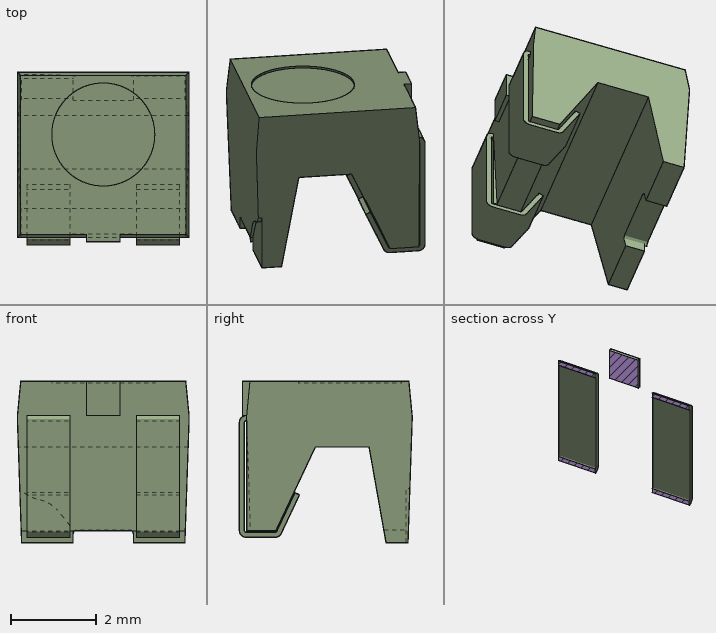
import cadquery as cq
import math


WIDTH = 4.0
DEPTH = 3.855
PLATE_THICKNESS = 0.12
BACK_LEG_BOTTOM = -2.965
FRONT_LEG_BOTTOM = -2.685
WALL_TAPER = 0.095

LID_HEIGHT = 0.8
LID_TAPER = 0.075
TAB_WIDTH = 0.785
TAB_REACH = 0.1
WINDOW_RADIUS = 1.2
WINDOW_Y = 2.4
WINDOW_DEPTH = 0.05

TUNNEL_TOP = -0.737
TUNNEL_TOP_FRONT = 1.6
TUNNEL_TOP_BACK = 2.85
FRONT_LEG_DEPTH = 0.68
BACK_LEG_INNER_Y = 3.245

NOTCH_WIDTH = 1.402
NOTCH_TOP = -2.66
NOTCH_RADIUS = 0.105

RELIEF_FLOOR_Y = 3.71
RELIEF_SIDE_Z = -1.635
RELIEF_BEND = (-1.49, -1.96)
RELIEF_SLOPE_TOP = (-1.025, -2.25)

LEAD_THICKNESS = PLATE_THICKNESS
LEAD_WIDTH = 1.008
LEAD_INNER_X = 0.77
LEAD_FRONT_GAP = 0.052
LEAD_BOTTOM_GAP = 0.032
LEAD_SLANT_GAP = 0.02
LEAD_TIP_Z = -1.795
BEND_INNER_RADIUS = 0.04
BEND_OUTER_RADIUS = BEND_INNER_RADIUS + LEAD_THICKNESS

MARGIN = 0.405


def tapered_block(z_start, height, front_inset, back_inset, side_inset):
    """Block on the full footprint at z_start, with its walls inset at the far end."""
    end_depth = DEPTH - front_inset - back_inset
    return (
        cq.Workplane("XY", origin=(0, DEPTH / 2, z_start))
        .rect(WIDTH, DEPTH)
        .workplane(offset=height)
        .center(0, (front_inset - back_inset) / 2)
        .rect(WIDTH - 2 * side_inset, end_depth)
        .loft(ruled=True)
    )


def across_width(points):
    """Prism across the whole width from (y, z) corners."""
    return cq.Workplane("YZ").polyline(points).close().extrude(WIDTH, both=True)


def lid():
    body = tapered_block(0, LID_HEIGHT, LID_TAPER, LID_TAPER, LID_TAPER)
    tab_depth = TAB_REACH + 2 * LID_TAPER
    tab = cq.Workplane("XY").box(TAB_WIDTH, tab_depth, LID_HEIGHT, centered=(True, False, False))
    window = (
        cq.Workplane("XY", origin=(0, WINDOW_Y, LID_HEIGHT - WINDOW_DEPTH))
        .circle(WINDOW_RADIUS)
        .extrude(MARGIN)
    )
    return body.union(tab.translate((0, -TAB_REACH, 0))).cut(window)


def leg_opening():
    below = BACK_LEG_BOTTOM - MARGIN
    return across_width([
        (-MARGIN, FRONT_LEG_BOTTOM),
        (FRONT_LEG_DEPTH, FRONT_LEG_BOTTOM),
        (TUNNEL_TOP_FRONT, TUNNEL_TOP),
        (TUNNEL_TOP_BACK, TUNNEL_TOP),
        (BACK_LEG_INNER_Y, BACK_LEG_BOTTOM),
        (BACK_LEG_INNER_Y, below),
        (-MARGIN, below),
    ])


def front_panel():
    """Wedge that gives the wall between the leads the same draft as the other walls."""
    wedge = (
        cq.Workplane("YZ")
        .polyline([
            (0, -PLATE_THICKNESS),
            (WALL_TAPER, BACK_LEG_BOTTOM),
            (0, BACK_LEG_BOTTOM),
        ])
        .close()
    )
    return wedge.extrude(LEAD_INNER_X, both=True)


def foot_notch():
    height = NOTCH_TOP - BACK_LEG_BOTTOM + MARGIN
    return (
        cq.Workplane("XY", origin=(0, DEPTH, NOTCH_TOP - height))
        .box(NOTCH_WIDTH, DEPTH, height, centered=(True, True, False))
        .edges("|Y and >Z")
        .fillet(NOTCH_RADIUS)
    )


def corner_relief():
    """Shallow relief under an S-shaped ceiling that falls from the -X wall to the notch."""
    below = BACK_LEG_BOTTOM - MARGIN
    return (
        cq.Workplane("XZ", origin=(0, RELIEF_FLOOR_Y, 0))
        .moveTo(-NOTCH_WIDTH / 2, below)
        .lineTo(-NOTCH_WIDTH / 2, NOTCH_TOP)
        .lineTo(*RELIEF_SLOPE_TOP)
        .tangentArcPoint(RELIEF_BEND, relative=False)
        .tangentArcPoint((-WIDTH / 2, RELIEF_SIDE_Z), relative=False)
        .lineTo(-WIDTH / 2, below)
        .close()
        .extrude(-MARGIN)
    )


def housing():
    plate = cq.Workplane("XY").box(WIDTH, DEPTH, PLATE_THICKNESS, centered=(True, False, False))
    plate = plate.translate((0, 0, -PLATE_THICKNESS))
    wall_height = -PLATE_THICKNESS - BACK_LEG_BOTTOM
    base = tapered_block(-PLATE_THICKNESS, -wall_height, 0, WALL_TAPER, WALL_TAPER)
    base = base.cut(leg_opening()).cut(front_panel())
    base = base.cut(foot_notch()).cut(corner_relief())
    return plate.union(base)


def lead(x_start):
    """Strip bent down the front wall, under the front leg and up its slanted back."""
    rise = TUNNEL_TOP - FRONT_LEG_BOTTOM
    run = TUNNEL_TOP_FRONT - FRONT_LEG_DEPTH
    slant = math.atan2(rise, run)

    def slant_y(z, gap):
        return FRONT_LEG_DEPTH + (z - FRONT_LEG_BOTTOM) / math.tan(slant) + gap / math.sin(slant)

    inner_front = -LEAD_FRONT_GAP
    outer_front = inner_front - LEAD_THICKNESS
    inner_bottom = FRONT_LEG_BOTTOM - LEAD_BOTTOM_GAP
    outer_bottom = inner_bottom - LEAD_THICKNESS
    tip_inner = (slant_y(LEAD_TIP_Z, LEAD_SLANT_GAP), LEAD_TIP_Z)
    tip_outer = (
        tip_inner[0] + LEAD_THICKNESS * math.sin(slant),
        tip_inner[1] - LEAD_THICKNESS * math.cos(slant),
    )
    outer_bends = [
        (outer_front, 0),
        (outer_front, outer_bottom),
        (slant_y(outer_bottom, LEAD_SLANT_GAP + LEAD_THICKNESS), outer_bottom),
    ]
    inner_bends = [
        (slant_y(inner_bottom, LEAD_SLANT_GAP), inner_bottom),
        (inner_front, inner_bottom),
        (inner_front, -LEAD_THICKNESS),
    ]
    outline = [(LEAD_THICKNESS, 0), *outer_bends, tip_outer, tip_inner, *inner_bends]
    outline.append((LEAD_THICKNESS, -LEAD_THICKNESS))
    strip = cq.Workplane("YZ", origin=(x_start, 0, 0)).polyline(outline).close().extrude(LEAD_WIDTH)
    for bends, radius in ((outer_bends, BEND_OUTER_RADIUS), (inner_bends, BEND_INNER_RADIUS)):
        for y, z in bends:
            corner = cq.selectors.NearestToPointSelector((x_start + LEAD_WIDTH / 2, y, z))
            strip = strip.edges(corner).fillet(radius)
    return strip


result = housing().union(lid())
for lead_x in (LEAD_INNER_X, -LEAD_INNER_X - LEAD_WIDTH):
    result = result.union(lead(lead_x))